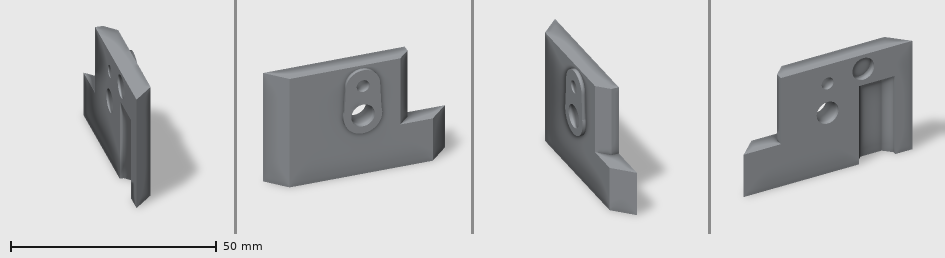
import cadquery as cq
import math

plate_length = 47.23
plate_height = 30.5
plate_thickness = 5.0
end_bevel = plate_thickness

step_length = 10.45
step_height = 11.9
step_chamfer = 3.0

hole_line_x = 23.5
small_hole_diameter = 3.3
small_hole_z = 25.25
large_hole_diameter = 6.09
large_hole_z = 17.0
blind_hole_diameter = 6.09
blind_hole_x = 33.5
blind_hole_z = 26.5
blind_hole_depth = 2.0

slot_left = 32.35
slot_width = 10.15
slot_height = 22.0
slot_wall_depth = 1.0
slot_depth = 3.1
slot_slope = slot_depth - slot_wall_depth

pad_height = 1.0
pad_lower_radius = 5.0
pad_upper_radius = 4.45
pad_side_start = 1.4


def upright_prism(points, bottom, top):
    """Extrude an XY outline from one Z level to another."""
    return cq.Workplane("XY").workplane(offset=bottom).polyline(points).close().extrude(top - bottom)


def drill(x, z, diameter, depth):
    """Cylinder going from the front face into the plate."""
    start = cq.Vector(x, 0, z)
    return cq.Workplane(obj=cq.Solid.makeCylinder(diameter / 2, depth, start, cq.Vector(0, 1, 0)))


def make_plate():
    back_right = plate_length - end_bevel
    lower = [
        (0, 0),
        (plate_length, 0),
        (back_right, plate_thickness),
        (end_bevel, plate_thickness),
    ]
    upper = [
        (step_length, 0),
        (plate_length, 0),
        (back_right, plate_thickness),
        (step_length + step_chamfer, plate_thickness),
        (step_length, plate_thickness - step_chamfer),
    ]
    lower_part = upright_prism(lower, 0, step_height)
    upper_part = upright_prism(upper, step_height, plate_height)
    return lower_part.union(upper_part)


def make_slot():
    slot_right = slot_left + slot_width
    outline = [
        (slot_left, 0),
        (slot_right, 0),
        (slot_right, slot_wall_depth),
        (slot_right - slot_slope, slot_depth),
        (slot_left + slot_slope, slot_depth),
        (slot_left, slot_wall_depth),
    ]
    return upright_prism(outline, 0, slot_height)


def make_pad():
    side_start_x = math.sqrt(pad_lower_radius**2 - pad_side_start**2)
    side_start_z = large_hole_z + pad_side_start
    return (
        cq.Workplane("XZ", origin=(hole_line_x, plate_thickness, 0))
        .moveTo(-side_start_x, side_start_z)
        .threePointArc((0, large_hole_z - pad_lower_radius), (side_start_x, side_start_z))
        .lineTo(pad_upper_radius, small_hole_z)
        .threePointArc((0, small_hole_z + pad_upper_radius), (-pad_upper_radius, small_hole_z))
        .close()
        .extrude(-pad_height)
    )


through_depth = plate_thickness + pad_height

result = make_plate().union(make_pad()).cut(make_slot())
result = result.cut(drill(hole_line_x, small_hole_z, small_hole_diameter, through_depth))
result = result.cut(drill(hole_line_x, large_hole_z, large_hole_diameter, through_depth))
result = result.cut(drill(blind_hole_x, blind_hole_z, blind_hole_diameter, blind_hole_depth))